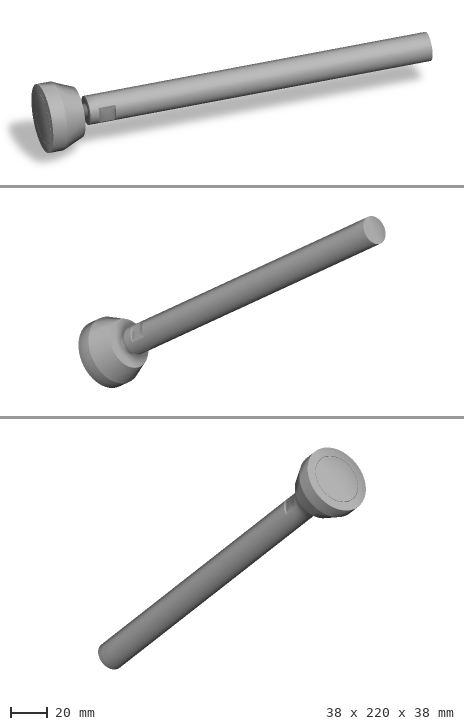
import cadquery as cq

TOTAL_LENGTH = 220.0

FOOT_DIAMETER = 38.0
FOOT_TOP_DIAMETER = 28.0
RIM_HEIGHT = 8.1
FOOT_TOP = 20.0
GROOVE_OUTER_DIAMETER = 28.0
PAD_DIAMETER = 27.5
GROOVE_DEPTH = 1.0

SHAFT_DIAMETER = 16.0
SHAFT_START = 24.9
NECK_DIAMETER = 7.7
COLLAR_DIAMETER = 11.9
COLLAR_TOP = 21.3

FLAT_START = 30.0
FLAT_LENGTH = 9.5
ACROSS_FLATS = 13.0


def revolve_about_y(profile):
    """Revolve (radius, y) points a full turn about the Y axis."""
    return cq.Workplane("XY").polyline(profile).close().revolve(360, (0, 0, 0), (0, 1, 0))


def make_foot():
    """Foot standing on y = 0, its flat top facing +Y."""
    return revolve_about_y([
        (0, 0),
        (PAD_DIAMETER / 2, 0),
        (PAD_DIAMETER / 2, GROOVE_DEPTH),
        (GROOVE_OUTER_DIAMETER / 2, GROOVE_DEPTH),
        (GROOVE_OUTER_DIAMETER / 2, 0),
        (FOOT_DIAMETER / 2, 0),
        (FOOT_DIAMETER / 2, RIM_HEIGHT),
        (FOOT_TOP_DIAMETER / 2, FOOT_TOP),
        (0, FOOT_TOP),
    ])


def cut_wrench_flats(shaft):
    """Remove the two shaft segments outside the across-flats width, at +X and -X."""
    flat_middle = FLAT_START + FLAT_LENGTH / 2
    flat_band = cq.Workplane("XY").box(SHAFT_DIAMETER, FLAT_LENGTH, SHAFT_DIAMETER)
    kept_core = cq.Workplane("XY").box(ACROSS_FLATS, FLAT_LENGTH, SHAFT_DIAMETER)
    return shaft.cut(flat_band.cut(kept_core).translate((0, flat_middle, 0)))


def make_spindle():
    """Collar, neck and shaft in one piece, resting on the top of the foot."""
    turned = revolve_about_y([
        (0, FOOT_TOP),
        (COLLAR_DIAMETER / 2, FOOT_TOP),
        (NECK_DIAMETER / 2, COLLAR_TOP),
        (NECK_DIAMETER / 2, SHAFT_START),
        (SHAFT_DIAMETER / 2, SHAFT_START),
        (SHAFT_DIAMETER / 2, TOTAL_LENGTH),
        (0, TOTAL_LENGTH),
    ])
    return cut_wrench_flats(turned)


foot = make_foot()
spindle = make_spindle()
result = cq.Compound.makeCompound([foot.val(), spindle.val()])